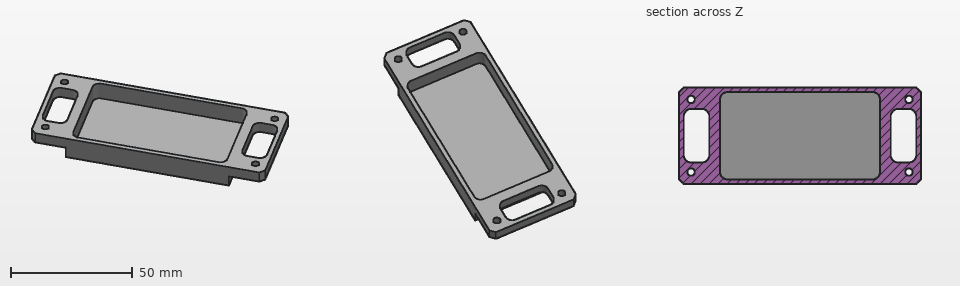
import cadquery as cq

length = 100.0
width = 40.0
height = 10.0

flange_thickness = 5.0
corner_chamfer = 2.0

body_length = 70.0
wall = 2.0
floor_thickness = 2.0
pocket_corner_radius = 3.0

slot_length = 10.5
slot_width = 22.0
slot_end_margin = 2.0
slot_corner_radius = 3.0

hole_diameter = 3.0
hole_edge_distance = 5.0


def rounded_prism(size_x, size_y, size_z, radius):
    """Box standing on Z = 0 with rounded vertical edges."""
    prism = cq.Workplane("XY").box(size_x, size_y, size_z, centered=(True, True, False))
    return prism.edges("|Z").fillet(radius)


def make_flange():
    plate = cq.Workplane("XY").box(length, width, flange_thickness, centered=(True, True, False))
    plate = plate.edges("|Z").chamfer(corner_chamfer)
    return plate.translate((0, 0, height - flange_thickness))


def make_body():
    return cq.Workplane("XY").box(
        body_length, width, height - flange_thickness, centered=(True, True, False)
    )


def make_pocket():
    pocket = rounded_prism(
        body_length - 2 * wall,
        width - 2 * wall,
        height - floor_thickness,
        pocket_corner_radius,
    )
    return pocket.translate((0, 0, floor_thickness))


def make_slot(side):
    slot = rounded_prism(slot_length, slot_width, height, slot_corner_radius)
    center_x = length / 2 - slot_end_margin - slot_length / 2
    return slot.translate((side * center_x, 0, 0))


def make_screw_holes():
    return (
        cq.Workplane("XY")
        .rarray(length - 2 * hole_edge_distance, width - 2 * hole_edge_distance, 2, 2)
        .circle(hole_diameter / 2)
        .extrude(height)
    )


result = make_flange().union(make_body())
result = result.cut(make_pocket())
for side in (-1, 1):
    result = result.cut(make_slot(side))
result = result.cut(make_screw_holes())